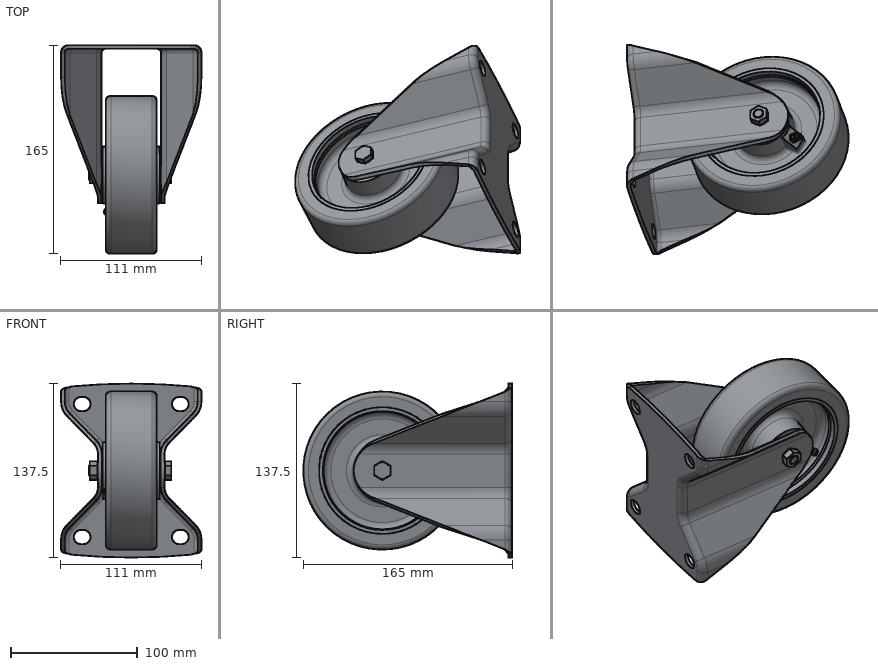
import cadquery as cq
import math


sheet = 3.0
plate_back_y = 102.5
plate_half_height = 68.75
plate_arc_radius = 500.0
plate_arc_half_width = 46.8
plate_bend_radius = 6.0
outer_half_width = 55.5
waist_half_width = 26.4
waist_flat_half_height = 13.3
waist_bend_radius = 12.0
flange_bend_radius = 16.5
flange_angle = 44.5
leg_tip_radius = 22.5
leg_root_half_height = 62.2
corner_half_height = 65.7
hole_pitch_x = 77.5
hole_pitch_z = 105.0
hole_length = 13.0
hole_width = 11.0

plate_flat_half_width = outer_half_width - plate_bend_radius
leg_root_y = plate_back_y - plate_bend_radius
leg_inner_x = waist_half_width - sheet

tread_radius = 62.5
tread_half_width = 20.2
tread_corner_radius = 4.0
rim_outer_radius = 50.0
rim_inner_radius = 47.0
rim_root_radius = 46.3
rim_step_outer_x = 15.0
rim_step_inner_x = 13.2
web_half_thickness = 3.0
web_fillet_radius = 5.4
hub_half_width = 22.5
hub_radius = 22.5
hub_root_radius = 23.5
hub_fillet_radius = 5.0
bearing_radius = 17.5
bearing_half_width = 22.9
bore_radius = 8.0

grease_angle = 29.5
boss_width = 11.8
boss_end_radius = 33.0
boss_end_height = 5.2
boss_corner_radius = 1.2
boss_root_radius = 0.8
boss_embed = 1.5
fitting_radius = 27.9
fitting_hex = 6.8
fitting_hex_height = 2.5
fitting_embed = 1.0
nozzle_root_radius = 3.0
nozzle_neck_radius = 2.7
nozzle_neck_height = 5.2
nozzle_groove_radius = 2.3
nozzle_groove_height = 5.8
nozzle_head_radius = 2.8
nozzle_head_start = 6.6
nozzle_head_end = 8.4
nozzle_tip_radius = 1.9
nozzle_length = 10.0
nozzle_dimple_radius = 0.7
nozzle_dimple_depth = 0.4

bolt_radius = 4.0
bolt_protrusion = 0.6
bolt_chamfer = 0.5
sleeve_radius = 7.5
wrench_size = 13.0
washer_face_height = 0.4
nut_height = 6.5
head_height = 5.3

clearance = 1.0


def x_cylinder(radius, half_length):
    """Cylinder about the X axis, centred on the origin."""
    return cq.Workplane("YZ", origin=(-half_length, 0, 0)).circle(radius).extrude(2 * half_length)


def hourglass_block():
    """Solid filling the space inside the outer faces of plate and legs, taller and deeper than they are."""
    top_z = plate_half_height + 10 * clearance
    depth = plate_back_y + 2 * leg_tip_radius
    lean = math.radians(flange_angle)
    waist_z = waist_flat_half_height + waist_bend_radius * math.tan(lean / 2)
    flange_z = waist_z + (outer_half_width - waist_half_width) / math.tan(lean)
    upper_right = [(waist_half_width, waist_z), (outer_half_width, flange_z), (outer_half_width, top_z)]
    upper_left = [(-x, z) for x, z in reversed(upper_right)]
    lower_left = [(x, -z) for x, z in reversed(upper_left)]
    lower_right = [(x, -z) for x, z in reversed(upper_right)]
    outline = upper_right + upper_left + lower_left + lower_right
    block = cq.Workplane("XZ", origin=(0, plate_back_y, 0)).polyline(outline).close().extrude(depth)
    for corner_z, radius in ((waist_z, waist_bend_radius), (flange_z, flange_bend_radius)):
        bends = block.edges("|Y").filter(lambda edge: abs(abs(edge.Center().z) - corner_z) < 0.01)
        block = bends.fillet(radius)
    return block.faces(">Y").edges("not(<Z or >Z)").fillet(plate_bend_radius)


def leg_trim():
    """Side outline of the legs: tapered flanks tangent to a round tip about the axle."""
    root_distance = math.hypot(leg_root_y, leg_root_half_height)
    root_direction = math.atan2(leg_root_half_height, leg_root_y)
    tangent_direction = root_direction + math.acos(leg_tip_radius / root_distance)
    tangent_y = leg_tip_radius * math.cos(tangent_direction)
    tangent_z = leg_tip_radius * math.sin(tangent_direction)
    return (
        cq.Workplane("YZ", origin=(-outer_half_width - clearance, 0, 0))
        .moveTo(plate_back_y + clearance, corner_half_height)
        .lineTo(plate_back_y, corner_half_height)
        .lineTo(leg_root_y, leg_root_half_height)
        .lineTo(tangent_y, tangent_z)
        .threePointArc((-leg_tip_radius, 0), (tangent_y, -tangent_z))
        .lineTo(leg_root_y, -leg_root_half_height)
        .lineTo(plate_back_y, -corner_half_height)
        .lineTo(plate_back_y + clearance, -corner_half_height)
        .close()
        .extrude(2 * (outer_half_width + clearance))
    )


def plate_trim():
    """Outline of the flat plate: arched above and below, with bevelled corners."""
    arc_drop = plate_arc_radius - math.sqrt(plate_arc_radius**2 - plate_arc_half_width**2)
    arc_end_z = plate_half_height - arc_drop
    return (
        cq.Workplane("XZ", origin=(0, plate_back_y + clearance, 0))
        .moveTo(plate_flat_half_width, -corner_half_height)
        .lineTo(plate_flat_half_width, corner_half_height)
        .lineTo(plate_arc_half_width, arc_end_z)
        .threePointArc((0, plate_half_height), (-plate_arc_half_width, arc_end_z))
        .lineTo(-plate_flat_half_width, corner_half_height)
        .lineTo(-plate_flat_half_width, -corner_half_height)
        .lineTo(-plate_arc_half_width, -arc_end_z)
        .threePointArc((0, -plate_half_height), (plate_arc_half_width, -arc_end_z))
        .close()
        .extrude(clearance + sheet)
    )


def plate_holes():
    return (
        cq.Workplane("XZ", origin=(0, plate_back_y + clearance, 0))
        .rect(hole_pitch_x, hole_pitch_z, forConstruction=True)
        .vertices()
        .slot2D(hole_length, hole_width)
        .extrude(sheet + 2 * clearance)
    )


def make_bracket():
    """Bent sheet: the trimmed outer skin thickened inwards, so its edges stay square to the sheet."""
    skin = cq.Shell.makeShell(hourglass_block().faces("not(<Y or <Z or >Z)").vals())
    trimmed_skin = skin.intersect(leg_trim().union(plate_trim()).val())
    trimmed_shell = cq.Shell.makeShell(trimmed_skin.Faces())
    bracket = cq.Workplane(cq.occ_impl.shapes.offset(trimmed_shell, -sheet))
    return bracket.cut(plate_holes()).cut(x_cylinder(bolt_radius, outer_half_width))


def make_tread():
    tread = x_cylinder(tread_radius, tread_half_width)
    tread = tread.faces("<X or >X").edges().fillet(tread_corner_radius)
    return tread.cut(x_cylinder(rim_outer_radius, tread_half_width))


def wheel_blank():
    """Rim, web, hub and bearing faces, turned about the X axis."""
    diagonal = math.sqrt(0.5)
    hub_centre_x = web_half_thickness + hub_fillet_radius
    hub_centre_r = hub_root_radius + hub_fillet_radius
    hub_mid = (
        hub_centre_x - diagonal * hub_fillet_radius,
        hub_centre_r - diagonal * hub_fillet_radius,
    )
    web_centre_x = web_half_thickness + web_fillet_radius
    web_centre_r = rim_root_radius - web_fillet_radius
    web_mid = (
        web_centre_x - diagonal * web_fillet_radius,
        web_centre_r + diagonal * web_fillet_radius,
    )
    half = (
        cq.Workplane("XY")
        .moveTo(0, bore_radius)
        .lineTo(bearing_half_width, bore_radius)
        .lineTo(bearing_half_width, bearing_radius)
        .lineTo(hub_half_width, bearing_radius)
        .lineTo(hub_half_width, hub_radius)
        .lineTo(hub_centre_x, hub_root_radius)
        .threePointArc(hub_mid, (web_half_thickness, hub_centre_r))
        .lineTo(web_half_thickness, web_centre_r)
        .threePointArc(web_mid, (web_centre_x, rim_root_radius))
        .lineTo(rim_step_inner_x, rim_root_radius)
        .lineTo(rim_step_outer_x, rim_inner_radius)
        .lineTo(tread_half_width, rim_inner_radius)
        .lineTo(tread_half_width, rim_outer_radius)
        .lineTo(0, rim_outer_radius)
        .close()
        .revolve(360, (0, 0, 0), (1, 0, 0))
    )
    return half.union(half.mirror("YZ")).clean()


def grease_boss():
    """Wedge between hub and web, with a slope at 45 degrees that seats the fitting."""
    root_x = -web_half_thickness + boss_embed
    root_radius = hub_radius - boss_embed
    end_x = -web_half_thickness - boss_end_height
    slope_top_x = end_x - (boss_end_radius - root_radius)
    wedge = (
        cq.Workplane("XY", origin=(0, 0, -boss_width / 2))
        .moveTo(root_x, -boss_end_radius)
        .lineTo(end_x, -boss_end_radius)
        .lineTo(slope_top_x, -root_radius)
        .lineTo(root_x, -root_radius)
        .close()
        .extrude(boss_width)
    )
    return wedge.faces("<Y").edges("|X").fillet(boss_corner_radius)


def grease_fitting():
    """Hexagon foot and grooved nozzle standing square on the boss slope."""
    seat_x = -web_half_thickness - boss_end_height - (boss_end_radius - fitting_radius)
    seat_point = (seat_x, -fitting_radius, 0)
    seat = cq.Plane(origin=seat_point, xDir=(0, 0, 1), normal=(-1, -1, 0))
    foot = cq.Workplane(seat).polygon(6, fitting_hex, circumscribed=True).extrude(fitting_hex_height)
    profile = [
        (0, -fitting_embed),
        (nozzle_root_radius, -fitting_embed),
        (nozzle_root_radius, fitting_hex_height),
        (nozzle_neck_radius, nozzle_neck_height),
        (nozzle_groove_radius, nozzle_groove_height),
        (nozzle_head_radius, nozzle_head_start),
        (nozzle_head_radius, nozzle_head_end),
        (nozzle_tip_radius, nozzle_length),
        (nozzle_dimple_radius, nozzle_length),
        (0, nozzle_length - nozzle_dimple_depth),
    ]
    lengthwise = cq.Plane(origin=seat_point, xDir=(0, 0, 1), normal=(1, -1, 0))
    nozzle = cq.Workplane(lengthwise).polyline(profile).close().revolve(360, (0, 0, 0), (0, 1, 0))
    return foot.union(nozzle)


def on_boss_root(edge):
    """True for the edges where the boss walls rise from hub and web."""
    x, y, z = edge.Center().toTuple()
    near_boss = -hub_half_width < x < 0 and y < -hub_radius / 2 and abs(z) < boss_width / 2 + 0.1
    on_web = abs(x + web_half_thickness) < 0.01
    on_side_wall = abs(abs(z) - boss_width / 2) < 0.01
    on_hub = on_side_wall and edge.geomType() not in ("LINE", "CIRCLE")
    return near_boss and (on_web or on_hub)


def make_wheel_core():
    """Turned core with the grease boss and fitting, built along -Y and then swung into place."""
    core = wheel_blank().union(grease_boss())
    core = core.edges().filter(on_boss_root).fillet(boss_root_radius)
    core = core.union(grease_fitting())
    return core.rotate((0, 0, 0), (1, 0, 0), grease_angle)


def hexagon_end(side, height):
    """Nut (side -1) or bolt head (side 1) with a round washer face against the leg."""
    washer_face = (
        cq.Workplane("YZ", origin=(side * waist_half_width, 0, 0))
        .circle(wrench_size / 2)
        .extrude(side * height)
    )
    hexagon = (
        cq.Workplane("YZ", origin=(side * (waist_half_width + washer_face_height), 0, 0))
        .polygon(6, wrench_size, circumscribed=True)
        .extrude(side * (height - washer_face_height))
    )
    return washer_face.union(hexagon)


def make_axle():
    """Bolt, nut and spacer sleeve between the legs."""
    bolt_start_x = -waist_half_width - nut_height - bolt_protrusion
    bolt = (
        cq.Workplane("YZ", origin=(bolt_start_x, 0, 0))
        .circle(bolt_radius)
        .extrude(waist_half_width - bolt_start_x)
        .faces("<X")
        .chamfer(bolt_chamfer)
    )
    axle = x_cylinder(sleeve_radius, leg_inner_x).union(bolt)
    return axle.union(hexagon_end(-1, nut_height)).union(hexagon_end(1, head_height))


bracket = make_bracket()
tread = make_tread()
wheel_core = make_wheel_core()
axle = make_axle()
result = cq.Compound.makeCompound([bracket.val(), tread.val(), wheel_core.val(), axle.val()])